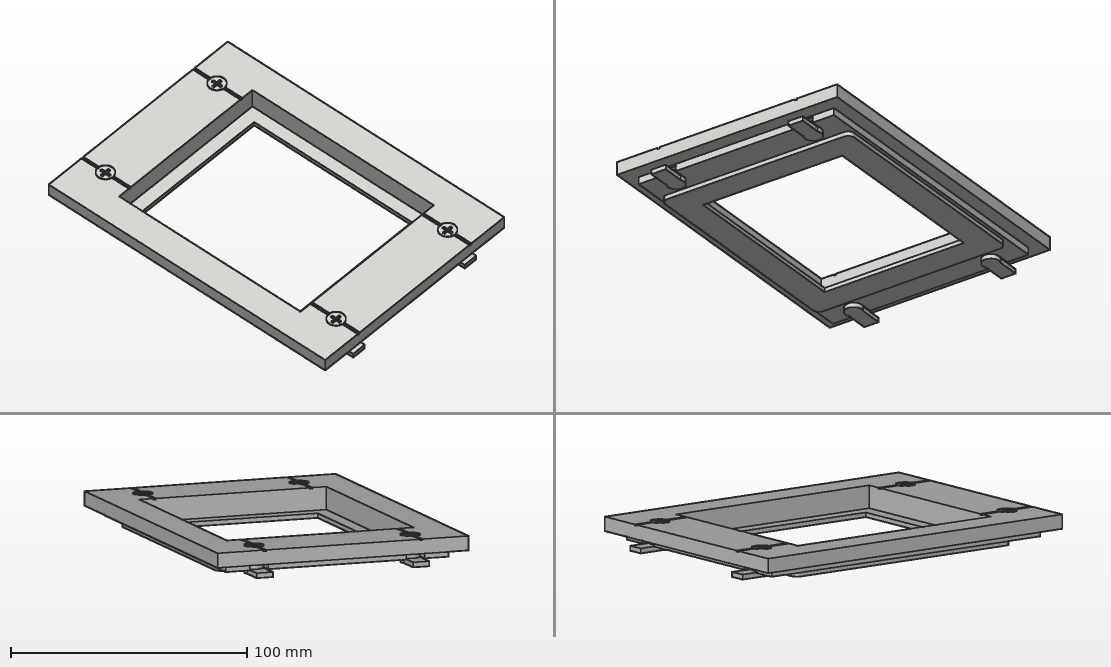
import cadquery as cq

plate_length = 157.0
plate_width = 114.0
plate_thickness = 6.3
tier_length = 143.3
tier_width = 101.1
tier_thickness = 3.5
rim_length = 115.1
rim_width = 97.8
rim_thickness = 2.2
rim_corner_radius = 3.1

tier_bottom = rim_thickness
plate_bottom = tier_bottom + tier_thickness
plate_top = plate_bottom + plate_thickness

window_length = 103.0
window_width = 84.8
opening_length = 89.5
opening_width = 71.9
ledge_thickness = 2.0

screw_x = 65.5
screw_y = 35.5
screw_diameter = 8.3
head_recess = 0.3
cross_length = 5.0
cross_width = 1.1
cross_depth = 1.5
clip_width = 7.4
clip_thickness = rim_thickness
clip_slot_top = plate_bottom - 1.0

groove_width = 1.1
groove_depth = 0.5


def block(length, width, bottom, top):
    """Box centred on the Z axis between two heights."""
    return cq.Workplane("XY").workplane(offset=bottom).rect(length, width).extrude(top - bottom)


def x_span(inner_x, outer_x, width, bottom, top):
    """Box on the +X side between two X positions, centred on the screw's Y position."""
    middle = ((inner_x + outer_x) / 2, screw_y)
    return block(outer_x - inner_x, width, bottom, top).translate((*middle, 0))


def screw_disc(bottom, top):
    """Cylinder of the screw's diameter on the screw axis."""
    sketch = cq.Workplane("XY").workplane(offset=bottom).center(screw_x, screw_y)
    return sketch.circle(screw_diameter / 2).extrude(top - bottom)


def at_corners(feature):
    """The +X +Y feature together with its mirror images in the other three corners."""
    pair = feature.union(feature.mirror("YZ"))
    return pair.union(pair.mirror("XZ"))


def frame():
    plate = block(plate_length, plate_width, plate_bottom, plate_top)
    tier = block(tier_length, tier_width, tier_bottom, plate_bottom)
    rim = block(rim_length, rim_width, 0, tier_bottom).edges("|Z").fillet(rim_corner_radius)
    window = block(window_length, window_width, ledge_thickness, plate_top)
    opening = block(opening_length, opening_width, 0, plate_top)
    return plate.union(tier).union(rim).cut(window).cut(opening)


def groove():
    return x_span(window_length / 2, plate_length / 2, groove_width, plate_top - groove_depth, plate_top)


def clip_slot():
    """Slot in the tier end that leaves the screw standing free on its outer side."""
    return x_span(screw_x, tier_length / 2, screw_diameter, tier_bottom, clip_slot_top)


def clip_and_screw():
    arm = x_span(screw_x, plate_length / 2, clip_width, 0, clip_thickness)
    head_top = plate_top - head_recess
    screw = screw_disc(0, head_top)
    cross_bottom = head_top - cross_depth
    bar = block(cross_length, cross_width, cross_bottom, head_top)
    cross = bar.union(bar.rotate((0, 0, 0), (0, 0, 1), 90)).translate((screw_x, screw_y, 0))
    return screw.cut(cross).union(arm)


result = frame().cut(at_corners(groove()))
result = result.cut(at_corners(clip_slot()))
result = result.cut(at_corners(screw_disc(plate_bottom, plate_top)))
result = result.union(at_corners(clip_and_screw()))